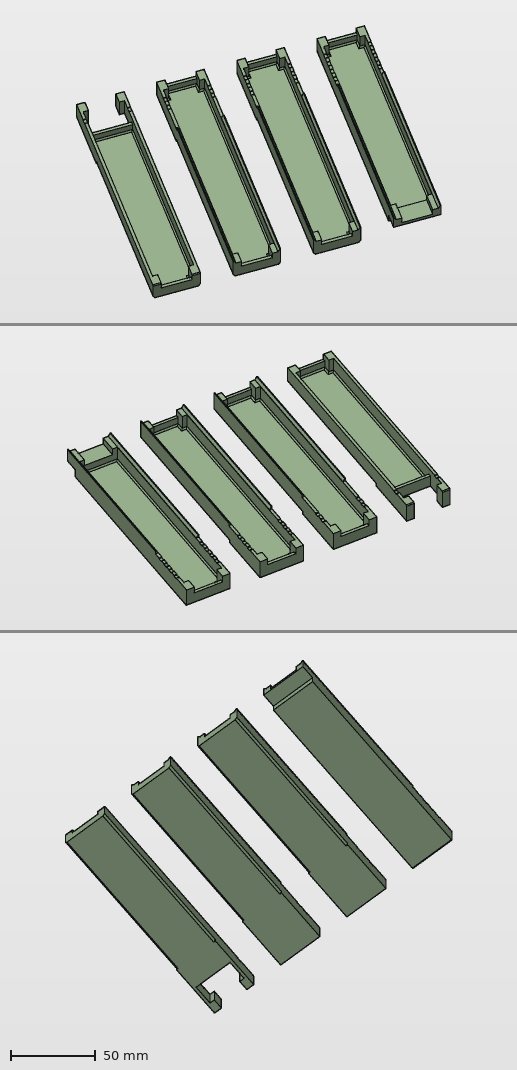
import cadquery as cq
stack_span = 179.6
tray_count = 4
tray_length = 141.2
tray_width = 29.6
tray_pitch = (stack_span - tray_width) / (tray_count - 1)
body_height = 12.5
wall = 2.0
floor_height = 2.3
floor_bevel = 1.0
end_wall_height = 8.0
post_length = 6.8
post_gap = 19.2
edge_bevel = 0.63

lip_start = 37.0
lip_height = 2.0
lip_tip = 0.5
lip_base = 1.8
joint_bevel = 1.3
joint_bevel_height = lip_height
joint_bevel_start = 36.3

first_notch = 12.2
notch_width = 2.9
notch_depth = 0.63
notch_pitch = 6.0

shelf_length = 11.1
step_length = shelf_length - wall
step_height = 5.5
bay_length = 20.0

half_width = tray_width / 2
inner_width = tray_width - 2 * wall

bevel_fill = 0.999


def box(x_start, x_end, width, z_start, z_end):
    """Block centred on Y = 0 between the given X and Z limits."""
    block = cq.Workplane("XY").box(x_end - x_start, width, z_end - z_start, centered=(False, True, False))
    return block.translate((x_start, 0, z_start))


def prism_along_x(points, x_start, x_end):
    """Y-Z outline extruded along X."""
    return cq.Workplane("YZ").polyline(points).close().extrude(x_end - x_start).translate((x_start, 0, 0))


def both_sides(solid):
    """A shape together with its mirror image across the XZ plane."""
    return solid.union(solid.mirror("XZ"))


def cavity_layer(x_start, x_end, left_post, right_post, z_start, z_end):
    """Cavity between two end walls, narrowed where the posts stand."""
    wide = box(max(x_start, left_post), min(x_end, right_post), inner_width, z_start, z_end)
    narrow = box(x_start, x_end, post_gap, z_start, z_end)
    return wide.union(narrow)


def cavity(x_start, x_end, left_post, right_post):
    """Open-topped cavity with a bevelled floor edge."""
    bevel_top = floor_height + floor_bevel
    upper = cavity_layer(x_start, x_end, left_post, right_post, bevel_top, body_height)
    lower = cavity_layer(x_start, x_end, left_post, right_post, floor_height, bevel_top)
    lower = lower.faces("<Z").edges().chamfer(floor_bevel * bevel_fill)
    return upper.union(lower)


def lips():
    """Pair of raised lips along the outer edges, sloped on the inside."""
    outline = [
        (half_width, body_height),
        (half_width, body_height + lip_height),
        (half_width - lip_tip, body_height + lip_height),
        (half_width - lip_base, body_height),
    ]
    return both_sides(prism_along_x(outline, lip_start, tray_length))


def joint_bevels():
    """Wedges removed along the lower outer edges to clear the lips below."""
    outline = [
        (half_width, 0),
        (half_width, joint_bevel_height),
        (half_width - joint_bevel, 0),
    ]
    return both_sides(prism_along_x(outline, joint_bevel_start, tray_length))


def index_notches(count):
    """Shallow notches across both side walls."""
    notches = cq.Workplane("XY")
    for index in range(count):
        start = first_notch + index * notch_pitch
        notches = notches.union(box(start, start + notch_width, tray_width, body_height - notch_depth, body_height))
    return notches


def tray_blank(notch_count, cavity_start, cavity_end):
    """Block with the cavity, the gaps between the posts and the index notches."""
    right_post = tray_length - post_length
    tray = box(0, tray_length, tray_width, 0, body_height)
    tray = tray.cut(box(0, tray_length, post_gap, end_wall_height, body_height))
    tray = tray.cut(cavity(cavity_start, cavity_end, post_length, right_post))
    return tray.cut(index_notches(notch_count))


def bottom_tray():
    """Lowest tray: flat underside and a thick +X end with a step below it."""
    tray = tray_blank(4, wall, tray_length - shelf_length)
    tray = tray.edges("<X and <Z").chamfer(edge_bevel)
    tray = tray.cut(box(tray_length - step_length, tray_length, tray_width, 0, step_height))
    return tray.union(lips())


def middle_tray(notch_count):
    """Intermediate tray: lips above and joint bevels below."""
    tray = tray_blank(notch_count, wall, tray_length - wall)
    return tray.cut(joint_bevels()).union(lips())


def top_tray():
    """Highest tray: flat top and an open bay behind the -X posts."""
    tray = tray_blank(1, bay_length + wall, tray_length - wall)
    tray = tray.cut(box(post_length, bay_length, inner_width, 0, body_height))
    tray = tray.cut(box(bay_length, bay_length + wall, inner_width, end_wall_height, body_height))
    tray = tray.cut(box(0, post_length, post_gap, 0, body_height))
    tray = tray.faces(">Z").edges("<X or >X").chamfer(edge_bevel)
    return tray.cut(joint_bevels())


trays = [top_tray(), middle_tray(2), middle_tray(3), bottom_tray()]
first_row = -(tray_count - 1) * tray_pitch / 2
placed_trays = []
for row, tray in enumerate(trays):
    placed_trays.append(tray.translate((0, first_row + row * tray_pitch, 0)).val())

result = cq.Compound.makeCompound(placed_trays)